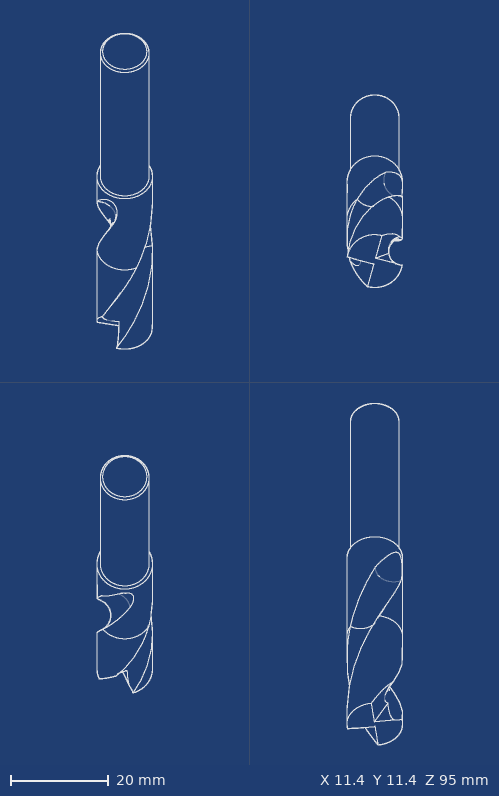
import cadquery as cq
import math

TOOL_LENGTH = 95.0
BODY_DIAMETER = 11.4
BODY_TOP = 52.0
SHANK_DIAMETER = 10.0
SHANK_CHAMFER = 0.5
HEAD_LENGTH = 27.4

FLUTE_COUNT = 2
FLUTE_PITCH = 88.35
FLUTE_TOP = 42.7
FLUTE_TOP_ANGLE = -92.0
FLUTE_CHORD = 6.5
CORE_RADIUS = 2.85
RUNOUT_RISE = 8.3
RUNOUT_DRIFT = 4.7
RUNOUT_OUT = 2.1
RUNOUT_LENGTH_FACTOR = 1.5

GASH_WALL_OFFSET = 0.7
GASH_FACE_RUN = 5.9
GASH_FACE_HEIGHT = 11.4
GASH_DIRECTION = -135.0

BODY_RADIUS = BODY_DIAMETER / 2
FLUTE_STEP = 360 / FLUTE_COUNT
HALF_CHORD = FLUTE_CHORD / 2
FLUTE_DEPTH = math.sqrt(BODY_RADIUS**2 - HALF_CHORD**2) - CORE_RADIUS
FLUTE_RADIUS = (HALF_CHORD**2 + FLUTE_DEPTH**2) / (2 * FLUTE_DEPTH)
FLUTE_CENTER = CORE_RADIUS + FLUTE_RADIUS
FLUTE_TWIST = 360 * FLUTE_TOP / FLUTE_PITCH


def turned(solid, angle):
    """Turn a solid about the tool axis."""
    return solid.rotate((0, 0, 0), (0, 0, 1), angle)


def make_helical_cutter():
    """Helical part of a flute, starting at the tip."""
    cutter = cq.Workplane("XY").moveTo(FLUTE_CENTER, 0).circle(FLUTE_RADIUS)
    cutter = cutter.twistExtrude(FLUTE_TOP, FLUTE_TWIST)
    return turned(cutter, FLUTE_TOP_ANGLE - FLUTE_TWIST)


def make_runout_cutter():
    """Straight end of a flute, sloping up and out through the surface."""
    start = cq.Vector(FLUTE_CENTER, 0, FLUTE_TOP)
    travel = cq.Vector(RUNOUT_OUT, RUNOUT_DRIFT, RUNOUT_RISE) * RUNOUT_LENGTH_FACTOR
    section = cq.Wire.makeCircle(FLUTE_RADIUS, start, cq.Vector(0, 0, 1))
    cutter = cq.Solid.extrudeLinear(section, [], travel)
    return turned(cq.Workplane(cutter), FLUTE_TOP_ANGLE)


def make_gash_cutter():
    """Wedge between the gash wall and gash face, with the wall facing +X."""
    wedge = (
        cq.Workplane("YZ", origin=(GASH_WALL_OFFSET, 0, 0))
        .lineTo(GASH_FACE_RUN, 0)
        .lineTo(GASH_FACE_RUN, GASH_FACE_HEIGHT)
        .close()
        .extrude(BODY_DIAMETER)
    )
    return turned(wedge, GASH_DIRECTION)


def cut_around(body, cutter):
    """Cut one copy of the cutter for each flute."""
    for index in range(FLUTE_COUNT):
        body = body.cut(turned(cutter, index * FLUTE_STEP))
    return body


def make_cutting_head():
    """Lower body: the fluted tip."""
    head = cq.Workplane("XY").circle(BODY_RADIUS).extrude(HEAD_LENGTH)
    head = cut_around(head, make_helical_cutter())
    return cut_around(head, make_gash_cutter())


def make_shank_body():
    """Upper body: the rest of the flutes and the plain shank."""
    body = cq.Workplane("XY").workplane(offset=HEAD_LENGTH).circle(BODY_RADIUS)
    body = body.extrude(BODY_TOP - HEAD_LENGTH)
    shank = cq.Workplane("XY").workplane(offset=BODY_TOP).circle(SHANK_DIAMETER / 2)
    shank = shank.extrude(TOOL_LENGTH - BODY_TOP).faces(">Z").chamfer(SHANK_CHAMFER)
    body = body.union(shank)
    body = cut_around(body, make_helical_cutter())
    return cut_around(body, make_runout_cutter())


cutting_head = make_cutting_head()
shank_body = make_shank_body()
result = cq.Compound.makeCompound([cutting_head.solids().val(), shank_body.solids().val()])